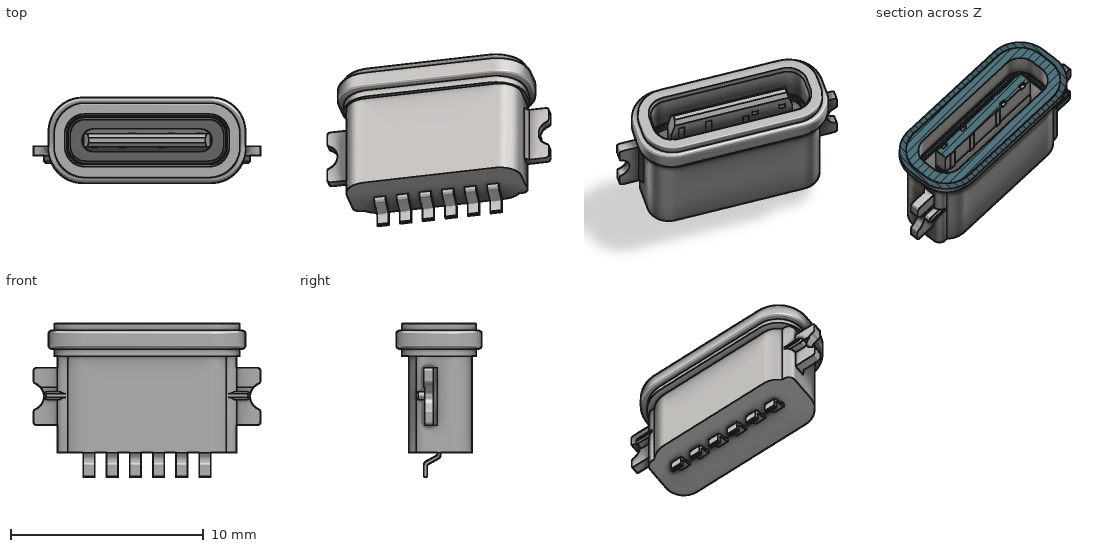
import cadquery as cq
import math

body_top = 5.02
rim_top = 6.71

body_half_length = 4.65
body_front = -1.58
body_back = 1.72
back_corner_radius = 1.16
front_flat_half_length = 3.22
shoulder_y = -1.19
shoulder_inner_x = 4.11
shoulder_corner_radius = 0.4

rim_half_length = 4.83
rim_half_width = 1.94
rim_corner_radius = 1.6
rim_edge_fillet = 0.08

ring_half_length = 5.12
ring_half_width = 2.23
ring_corner_radius = 1.79
ring_bottom = 5.38
ring_top = 6.35
ring_edge_fillet = 0.2

mouth_half_length = 4.27
mouth_half_width = 1.37
mouth_corner_radius = 1.05
lip_inset = 0.11
lip_depth = 0.2
ledge_z = 4.48
ledge_chamfer_width = 0.07
ledge_chamfer_height = 0.05
well_inset = 0.3
well_depth = 0.24
floor_z = ledge_z - well_depth

tongue_tip_z = 6.67
tongue_half_thickness = 0.34
tongue_edge_chamfer = 0.21
tongue_tip_half_length = 3.03
tongue_half_length = 3.28
tongue_end_taper_height = 0.94
tongue_base_half_length = 3.37
tongue_base_half_thickness = 0.59

contact_width = 0.32
contact_proud = 0.04
contact_embed = 0.12
contact_top_radius = 0.1
contact_tops = [(-2.74, 6.14), (-1.26, 6.14), (0.75, 5.78)]
notch_places = [1.26, 2.74]
notch_top = 5.96
notch_height = 0.26
notch_depth = 0.18

ear_half_span = 5.9
ear_bottom = 1.43
ear_top = 4.41
ear_back = -0.3
ear_front = -0.74
ear_corner_radius = 0.18
ear_root_depth = 0.47
ear_notch_half_height = 0.7
ear_notch_x = 5.36
pad_bottom = 3.4
pad_thickness = 0.05
gusset_size = 0.21

rib_bottom = 2.76
rib_top = 3.17
rib_end_radius = 0.2
rib_front_chamfer = 0.11

lead_count = 6
lead_pitch = 1.2
lead_width = 0.6
lead_thickness = 0.2
lead_bend_radius = 0.07
lead_upper_bend_z = -0.08
lead_foot_back = -0.6
lead_lower_bend_z = -0.67
lead_bottom = -1.27
lead_tip_chamfer = 0.06
lead_root_depth = 0.24


def rounded_prism(half_length, half_width, corner_radius, bottom, top):
    """Upright prism with a rounded rectangular outline."""
    prism = (
        cq.Workplane("XY", origin=(0, 0, bottom))
        .rect(2 * half_length, 2 * half_width)
        .extrude(top - bottom)
    )
    return prism.edges("|Z").fillet(corner_radius)


def make_body():
    """Solid block below the rim, with stepped corners along its front."""
    shoulder_outer_x = body_half_length - shoulder_corner_radius
    shoulder_end_y = shoulder_y + shoulder_corner_radius
    half = (
        cq.Workplane("XY")
        .moveTo(0, body_front)
        .lineTo(front_flat_half_length, body_front)
        .tangentArcPoint((shoulder_inner_x, shoulder_y), relative=False)
        .lineTo(shoulder_outer_x, shoulder_y)
        .tangentArcPoint((body_half_length, shoulder_end_y), relative=False)
        .lineTo(body_half_length, body_back - back_corner_radius)
        .tangentArcPoint((body_half_length - back_corner_radius, body_back), relative=False)
        .lineTo(0, body_back)
        .close()
        .extrude(body_top)
    )
    return half.union(half.mirror("YZ"))


def make_rim_block():
    return rounded_prism(rim_half_length, rim_half_width, rim_corner_radius, body_top, rim_top)


def mouth_prism(inset, bottom, top):
    """Prism with the mouth outline moved inwards by the inset."""
    return rounded_prism(
        mouth_half_length - inset,
        mouth_half_width - inset,
        mouth_corner_radius - inset,
        bottom,
        top,
    )


def make_cavity():
    lip = mouth_prism(0, rim_top - lip_depth, rim_top + lip_depth)
    lip = lip.faces("<Z").chamfer(lip_depth, lip_inset)
    throat = mouth_prism(lip_inset, ledge_z, rim_top)
    throat = throat.faces("<Z").chamfer(ledge_chamfer_height, ledge_chamfer_width)
    well = mouth_prism(well_inset, floor_z, rim_top)
    return throat.union(lip).union(well)


def make_tongue_blade():
    """Flat blade with bevelled long edges and ends that taper towards the tip."""
    tip_half_thickness = tongue_half_thickness - tongue_edge_chamfer
    bevel_z = tongue_tip_z - tongue_edge_chamfer
    taper_z = tongue_tip_z - tongue_end_taper_height
    cross_section = [
        (-tongue_half_thickness, floor_z),
        (-tongue_half_thickness, bevel_z),
        (-tip_half_thickness, tongue_tip_z),
        (tip_half_thickness, tongue_tip_z),
        (tongue_half_thickness, bevel_z),
        (tongue_half_thickness, floor_z),
    ]
    side_outline = [
        (-tongue_half_length, floor_z),
        (-tongue_half_length, taper_z),
        (-tongue_tip_half_length, tongue_tip_z),
        (tongue_tip_half_length, tongue_tip_z),
        (tongue_half_length, taper_z),
        (tongue_half_length, floor_z),
    ]
    bar = cq.Workplane("YZ").polyline(cross_section).close().extrude(tongue_half_length, both=True)
    ends = cq.Workplane("XZ").polyline(side_outline).close().extrude(tongue_half_thickness, both=True)
    return bar.intersect(ends)


def make_tongue_base():
    """Round-ended foot whose long sides slope at 45 degrees up to the blade."""
    foot_top = floor_z + tongue_base_half_thickness - tongue_half_thickness
    cross_section = [
        (-tongue_base_half_thickness, floor_z),
        (-tongue_half_thickness, foot_top),
        (tongue_half_thickness, foot_top),
        (tongue_base_half_thickness, floor_z),
    ]
    slopes = cq.Workplane("YZ").polyline(cross_section).close().extrude(tongue_base_half_length, both=True)
    slot = (
        cq.Workplane("XY", origin=(0, 0, floor_z))
        .slot2D(2 * tongue_base_half_length, 2 * tongue_base_half_thickness)
        .extrude(foot_top - floor_z)
    )
    return slopes.intersect(slot)


def make_contact(x, top):
    """Bar standing slightly proud of the front tongue face, rounded at its top."""
    bar = cq.Workplane("XY").box(
        contact_width, contact_embed + contact_proud, top - floor_z, centered=(True, False, False)
    )
    bar = bar.edges("|X and >Z and <Y").fillet(contact_top_radius)
    return bar.translate((x, -tongue_half_thickness - contact_proud, floor_z))


def make_notch(x):
    notch = cq.Workplane("XY").box(contact_width, notch_depth, notch_height, centered=(True, False, False))
    return notch.translate((x, -tongue_half_thickness, notch_top - notch_height))


def make_tongue():
    """Tongue with the same contacts on both faces, half a turn apart."""
    tongue = make_tongue_blade().union(make_tongue_base())
    for turn in (0, 180):
        for x, top in contact_tops:
            tongue = tongue.union(make_contact(x, top).rotate((0, 0, 0), (0, 0, 1), turn))
        for x in notch_places:
            tongue = tongue.cut(make_notch(x).rotate((0, 0, 0), (0, 0, 1), turn))
    return tongue


def make_ear_plate():
    """Ear plate with a rounded notch in its outer edge."""
    root_x = body_half_length - ear_root_depth
    middle_z = (ear_bottom + ear_top) / 2
    return (
        cq.Workplane("XZ", origin=(0, ear_back, 0))
        .moveTo(root_x, ear_bottom)
        .lineTo(ear_half_span, ear_bottom)
        .lineTo(ear_half_span, middle_z - ear_notch_half_height)
        .threePointArc((ear_notch_x, middle_z), (ear_half_span, middle_z + ear_notch_half_height))
        .lineTo(ear_half_span, ear_top)
        .lineTo(root_x, ear_top)
        .close()
        .extrude(ear_back - ear_front + pad_thickness)
        .edges("|Y and >X")
        .fillet(ear_corner_radius)
    )


def make_pad_relief():
    """Space in front of the thinner lower part of the ear."""
    relief = cq.Workplane("XY").box(ear_half_span, pad_thickness, pad_bottom, centered=False)
    return relief.translate((0, ear_front - pad_thickness, 0))


def make_gusset():
    """Triangular web behind the ear, against the end of the body."""
    corners = [
        (body_half_length, ear_back),
        (body_half_length + gusset_size, ear_back),
        (body_half_length, ear_back + gusset_size),
    ]
    gusset = cq.Workplane("XY", origin=(0, 0, ear_bottom)).polyline(corners).close()
    return gusset.extrude(ear_top - ear_bottom)


def make_rib():
    """Rib from the shoulder of the body to the bottom of the ear notch."""
    root_x = body_half_length - shoulder_corner_radius
    rib = cq.Workplane("XY").box(
        ear_notch_x - root_x, ear_front - shoulder_y, rib_top - rib_bottom, centered=False
    )
    rib = rib.edges("|Y and >X").fillet(rib_end_radius)
    rib = rib.faces("<Y").edges("not <X").chamfer(rib_front_chamfer)
    return rib.translate((root_x, shoulder_y, rib_bottom))


def make_ear():
    plate = make_ear_plate().cut(make_pad_relief())
    return plate.union(make_gusset()).union(make_rib())


def polar(center, radius, angle):
    return (center[0] + radius * math.cos(angle), center[1] + radius * math.sin(angle))


def make_lead(x):
    """Strip bent twice, outlined in the YZ plane."""
    inner = lead_bend_radius
    outer = lead_bend_radius + lead_thickness
    root_front = -lead_thickness / 2
    upper = (root_front - inner, lead_upper_bend_z)
    lower = (lead_foot_back + inner, lead_lower_bend_z)
    drop = upper[1] - lower[1]
    shift = upper[0] - lower[0]
    tilt = math.acos((inner + outer) / math.hypot(drop, shift)) - math.atan2(shift, drop)
    upper_turn = tilt - math.pi / 2
    lower_turn = tilt + math.pi / 2
    upper_middle = upper_turn / 2
    lower_middle = (lower_turn + math.pi) / 2
    lead = (
        cq.Workplane("YZ", origin=(x - lead_width / 2, 0, 0))
        .moveTo(root_front, lead_root_depth)
        .lineTo(root_front, lead_upper_bend_z)
        .threePointArc(polar(upper, inner, upper_middle), polar(upper, inner, upper_turn))
        .lineTo(*polar(lower, outer, lower_turn))
        .threePointArc(polar(lower, outer, lower_middle), polar(lower, outer, math.pi))
        .lineTo(lead_foot_back - lead_thickness, lead_bottom)
        .lineTo(lead_foot_back, lead_bottom)
        .lineTo(lead_foot_back, lead_lower_bend_z)
        .threePointArc(polar(lower, inner, lower_middle), polar(lower, inner, lower_turn))
        .lineTo(*polar(upper, outer, upper_turn))
        .threePointArc(polar(upper, outer, upper_middle), polar(upper, outer, 0))
        .lineTo(root_front + lead_thickness, lead_root_depth)
        .close()
        .extrude(lead_width)
    )
    return lead.faces("<Z").edges("|X").chamfer(lead_tip_chamfer)


def make_housing():
    rim = make_rim_block().faces(">Z").edges().fillet(rim_edge_fillet)
    housing = make_body().union(rim).cut(make_cavity()).union(make_tongue())
    ear = make_ear()
    housing = housing.union(ear).union(ear.mirror("YZ"))
    for index in range(lead_count):
        x = (index - (lead_count - 1) / 2) * lead_pitch
        housing = housing.union(make_lead(x))
    return housing


def make_seal_ring():
    ring = rounded_prism(ring_half_length, ring_half_width, ring_corner_radius, ring_bottom, ring_top)
    ring = ring.faces("<Z or >Z").edges().fillet(ring_edge_fillet)
    return ring.cut(make_rim_block())


housing = make_housing()
seal_ring = make_seal_ring()
result = cq.Compound.makeCompound([housing.val(), seal_ring.val()])